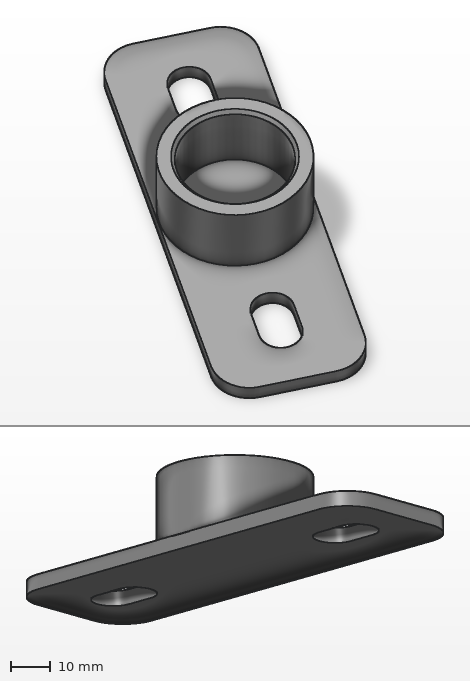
import cadquery as cq

plate_length = 120.0
plate_width = 40.0
plate_thickness = 4.0
corner_radius = 10.0

slot_length = 18.8
slot_width = 11.2
slot_spacing = 79.0

total_height = 23.0
socket_diameter = 39.5
bore_diameter = 30.2
bore_chamfer = 1.0
bore_depth = 18.0
socket_height = total_height - plate_thickness


def make_plate():
    """Rounded plate with a through slot near each end."""
    plate = (
        cq.Workplane("XY")
        .rect(plate_length, plate_width)
        .extrude(plate_thickness)
        .edges("|Z")
        .fillet(corner_radius)
    )
    return (
        plate.faces(">Z")
        .workplane()
        .rarray(slot_spacing, 1.2, 2, 1)
        .slot2D(slot_length, slot_width)
        .cutThruAll()
    )


def make_socket():
    """Round socket with a blind bore, chamfered at its mouth."""
    cylinder = (
        cq.Workplane("XY")
        .workplane(offset=plate_thickness)
        .circle(socket_diameter / 2)
        .extrude(socket_height)
    )
    socket = cylinder.faces(">Z").workplane().hole(bore_diameter, bore_depth)
    bore_rim = socket.faces(">Z").edges(cq.selectors.RadiusNthSelector(0))
    return bore_rim.chamfer(bore_chamfer)


result = make_plate().union(make_socket())